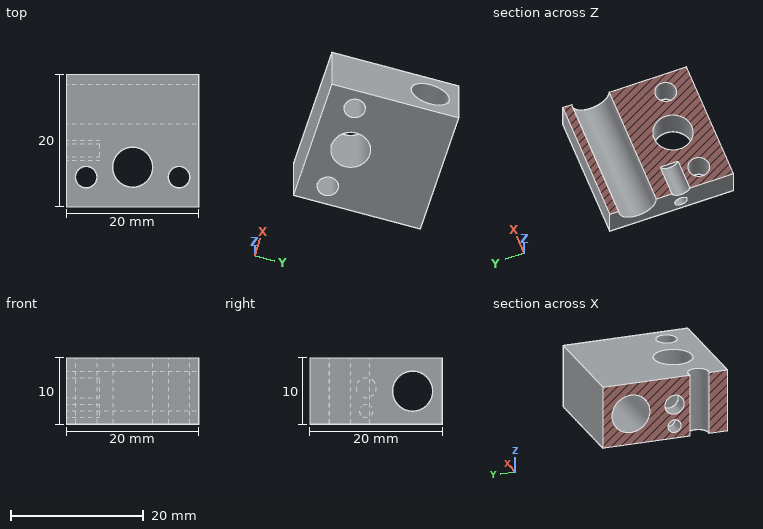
import cadquery as cq

length_x = 20.0
width_y = 20.0
height_z = 10.0

nozzle_diameter = 6.0
nozzle_y = 6.0
screw_diameter = 3.2
screw_spacing = 14.0
screw_y = 4.5

heater_diameter = 6.0
heater_y = width_y - 4.5
heater_z = height_z / 2
sensor_y = 8.5
sensor_diameter = 3.0
sensor_z = 5.5
clamp_diameter = 2.0
clamp_z = 2.0
blind_depth = 5.0


def vertical_hole(x, y, diameter):
    """Cylinder along Z through the full height of the block."""
    return cq.Workplane("XY").center(x, y).circle(diameter / 2).extrude(height_z)


def cross_bore(y, z, diameter, depth):
    """Cylinder along +X, starting on the -X face."""
    return cq.Workplane("YZ").center(y, z).circle(diameter / 2).extrude(depth)


result = cq.Workplane("XY").box(length_x, width_y, height_z, centered=False)

middle_x = length_x / 2
result = result.cut(vertical_hole(middle_x, nozzle_y, nozzle_diameter))
for side in (-1, 1):
    screw_x = middle_x + side * screw_spacing / 2
    result = result.cut(vertical_hole(screw_x, screw_y, screw_diameter))

result = result.cut(cross_bore(heater_y, heater_z, heater_diameter, length_x))
result = result.cut(cross_bore(sensor_y, sensor_z, sensor_diameter, blind_depth))
result = result.cut(cross_bore(sensor_y, clamp_z, clamp_diameter, blind_depth))